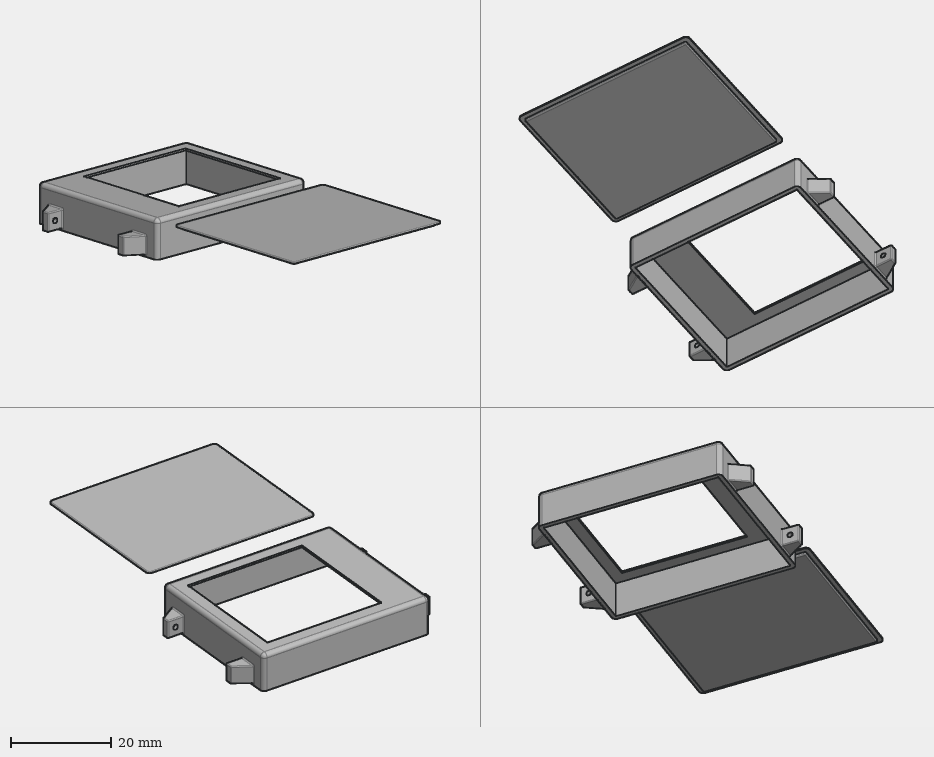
import cadquery as cq

width = 34.8
length = 40.6
wall = 1.0
corner_radius = 1.0

case_height = 8.6
top_thickness = 0.45
window_size = 27.7
window_margin = 3.6

length_over_lugs = 48.4
lug_height = 4.1
lug_bottom = 0.485
lug_gap = 20.3
lug_tip_width = 1.6
lug_root_width = 4.1
lug_edge_radius = 0.2
lug_root_radius = 0.26

bar_hole_diameter = 1.1
bar_hole_depth = 1.1

overall_width = 74.6
lid_plate_thickness = 0.4
lid_lip_depth = 0.6
lid_edge_radius = 0.2
lid_lip_clearance = 0.1

lug_length = (length_over_lugs - length) / 2
lid_center_x = overall_width - width


def make_lug(side, end):
    """Make one lug: side is -1 or 1 along X, end is -1 or 1 along Y."""
    inner_x = side * lug_gap / 2
    root_y = end * length / 2
    tip_y = root_y + end * lug_length
    outline = [
        (inner_x, root_y),
        (inner_x, tip_y),
        (inner_x + side * lug_tip_width, tip_y),
        (inner_x + side * lug_root_width, root_y),
    ]
    lug = cq.Workplane("XY").workplane(offset=lug_bottom).polyline(outline).close().extrude(lug_height)
    root_face = "<Y" if end > 0 else ">Y"
    return lug.edges(f"not({root_face})").fillet(lug_edge_radius)


def make_bar_hole(side, end):
    """Make the cutter for the blind hole in the inner face of one lug."""
    center_y = end * (length + lug_length) / 2
    center_z = lug_bottom + lug_height / 2
    face = cq.Plane((side * lug_gap / 2, center_y, center_z), xDir=(0, 1, 0), normal=(side, 0, 0))
    return cq.Workplane(face).circle(bar_hole_diameter / 2).extrude(bar_hole_depth)


def make_case():
    """Make the open-bottomed case with its window, lugs and spring bar holes."""
    case = cq.Workplane("XY").box(width, length, case_height, centered=(True, True, False))
    case = case.edges("|Z or >Z").fillet(corner_radius)

    places = [(side, end) for side in (-1, 1) for end in (-1, 1)]
    for side, end in places:
        case = case.union(make_lug(side, end))

    sliver = 0.015
    reach_x = width / 2 - corner_radius - sliver
    for end in (-1, 1):
        end_y = end * length / 2
        root_zone = cq.selectors.BoxSelector(
            (-reach_x, end_y - sliver, sliver),
            (reach_x, end_y + sliver, case_height - corner_radius - sliver),
        )
        case = case.edges(root_zone).fillet(lug_root_radius)
    for side, end in places:
        case = case.cut(make_bar_hole(side, end))

    cavity = cq.Workplane("XY").box(
        width - 2 * wall, length - 2 * wall, case_height - top_thickness, centered=(True, True, False)
    )
    window_center_y = length / 2 - window_margin - window_size / 2
    window = (
        cq.Workplane("XY")
        .center(0, window_center_y)
        .rect(window_size, window_size)
        .extrude(case_height)
    )
    return case.cut(cavity).cut(window)


def make_lid():
    """Make the thin lid plate with the shallow lip on its underside."""
    lip_inset = wall + lid_lip_clearance
    plate_bottom = case_height - lid_plate_thickness
    plate = (
        cq.Workplane("XY")
        .workplane(offset=plate_bottom)
        .center(lid_center_x, 0)
        .rect(width, length)
        .extrude(lid_plate_thickness)
        .edges("|Z")
        .fillet(corner_radius)
        .faces(">Z")
        .edges()
        .fillet(lid_edge_radius)
    )
    lip = (
        cq.Workplane("XY")
        .workplane(offset=plate_bottom)
        .center(lid_center_x, 0)
        .rect(width - 2 * lip_inset, length - 2 * lip_inset)
        .extrude(-lid_lip_depth)
        .edges("|Z or <Z")
        .fillet(lid_edge_radius)
    )
    return plate.union(lip)


case = make_case()
lid = make_lid()
result = cq.Compound.makeCompound([case.solids().val(), lid.solids().val()])